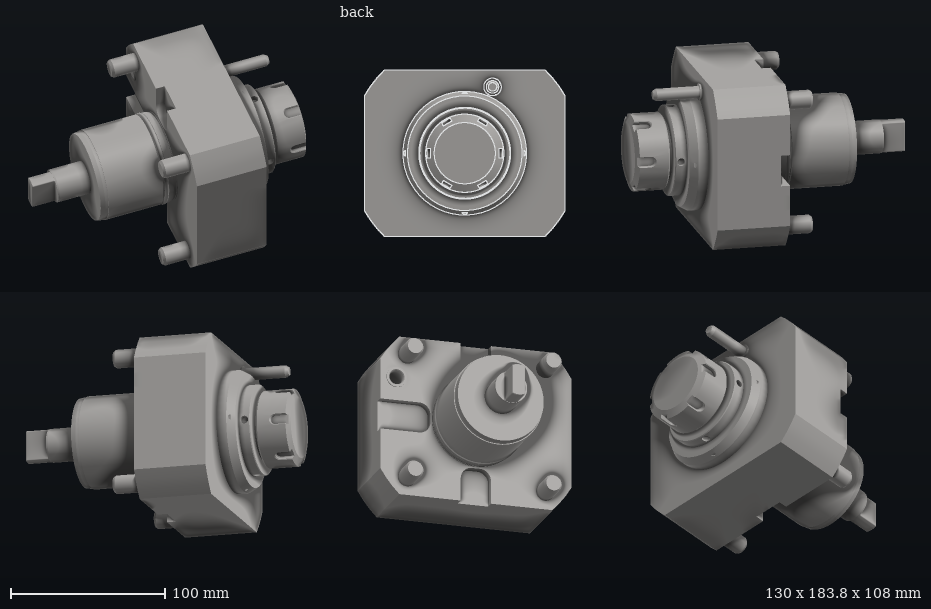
import cadquery as cq
import math


PLATE_WIDTH = 130.0
PLATE_HEIGHT = 108.0
PLATE_DEPTH = 48.3
PLATE_CORNER_RADIUS = 75.0

SLOT_WIDTH = 20.5
SLOT_DEPTH = 6.0
SLOT_CORNER_RADIUS = 7.7
SLOT_INNER_END = 30.9

DOWEL_RADIUS = 6.0
DOWEL_TIP_RADIUS = 5.0
DOWEL_LENGTH = 18.4
DOWEL_TIP_LENGTH = 1.7
DOWEL_X = 47.0
DOWEL_Z = 42.0

BUSH_X = -54.0
BUSH_Z = 26.0
BUSH_RADIUS = 6.8
BUSH_HEIGHT = 0.7
BUSH_BORE_RADIUS = 4.8
BUSH_BORE_DEPTH = 36.8
BUSH_CHAMFER = 0.5

TUBE_X = -18.0
TUBE_Z = 43.0
TUBE_RADIUS = 4.0
TUBE_LENGTH = 32.2
TUBE_TIP_RADIUS = 2.8
TUBE_TIP_LENGTH = 2.2
COLLAR_BASE_RADIUS = 5.1
COLLAR_TOP_RADIUS = 5.7
COLLAR_HEIGHT = 1.5

SHANK_RADIUS = 30.3
SHANK_END = -53.1
SHANK_STEP_RADIUS = 29.8
SHANK_STEP = -47.8
SHANK_TIP_RADIUS = 29.2
SHANK_TAPER = -50.0
RELIEF_RADIUS = 29.0
RELIEF_START = -0.5
RELIEF_END = -1.3
LAND_START = -3.0

GROOVE_RADIUS = 28.1
GROOVE_START = -6.0
GROOVE_END = -10.0
RING_WIRE_RADIUS = 1.38

SHAFT_RADIUS = 11.0
SHAFT_END = -75.5
SHAFT_TAPER = -74.5
SHAFT_TIP_RADIUS = 10.8
TANG_END = -91.2
TANG_THICKNESS = 8.6
TANG_END_RADIUS = 10.7
TANG_EDGE_RADIUS = 0.7
TANG_TIP_CHAMFER = 0.46
TANG_ROOT_FLARE = 0.5

COVER_RADIUS = 40.0
COVER_TOP_RADIUS = 37.1
COVER_CONE_START = 55.0
COVER_END = 60.3
RING_RADIUS = 29.8
RING_END = 68.0
RING_CHAMFER = 0.5
NECK_RADIUS = 20.5

HOLE_COUNT = 4
SPANNER_HOLE_RADIUS = 2.5
SPANNER_HOLE_DEPTH = 3.7
SPANNER_HOLE_Y = 64.1
DRILL_POINT_ANGLE = 118.0
DIMPLE_RADIUS = 1.7
DIMPLE_Y = 57.7

NUT_RADIUS = 25.4
NUT_START = 70.2
NUT_END = 92.6
NUT_CHAMFER = 1.1
NUT_RIM = 90.6
NUT_FACE_RADIUS = 19.9
NUT_SLOT_COUNT = 6
NUT_SLOT_WIDTH = 6.2
NUT_SLOT_END = 80.3
NUT_SLOT_CHAMFER = 0.5
NUT_SLOT_FLOOR = 22.2


def revolved(profile):
    """Solid of revolution about Y from a list of (radius, y) points."""
    return cq.Workplane("XY").polyline(profile).close().revolve(360, (0, 0, 0), (0, 1, 0))


def make_plate():
    blank = cq.Workplane("XZ").rect(PLATE_WIDTH, PLATE_HEIGHT).extrude(-PLATE_DEPTH)
    corner_cylinder = cq.Workplane("XZ").circle(PLATE_CORNER_RADIUS).extrude(-PLATE_DEPTH)
    return blank.intersect(corner_cylinder)


def key_slot(angle, outer_end):
    """Cutter for a slot running inwards from the plate edge, turned about Y from the +X direction."""
    length = outer_end - SLOT_INNER_END
    cutter = cq.Workplane("XY").box(length, SLOT_DEPTH, SLOT_WIDTH, centered=(False, False, True))
    cutter = cutter.edges("<X and |Y").fillet(SLOT_CORNER_RADIUS)
    return cutter.translate((SLOT_INNER_END, 0, 0)).rotate((0, 0, 0), (0, 1, 0), angle)


def make_spindle():
    """Shank, shaft, rear cover, ring, neck and nut as one turned shape."""
    return revolved([
        (0, SHAFT_END),
        (SHAFT_TIP_RADIUS, SHAFT_END),
        (SHAFT_RADIUS, SHAFT_TAPER),
        (SHAFT_RADIUS, SHANK_END),
        (SHANK_TIP_RADIUS, SHANK_END),
        (SHANK_STEP_RADIUS, SHANK_TAPER),
        (SHANK_STEP_RADIUS, SHANK_STEP),
        (SHANK_RADIUS, SHANK_STEP),
        (SHANK_RADIUS, GROOVE_END),
        (GROOVE_RADIUS, GROOVE_END),
        (GROOVE_RADIUS, GROOVE_START),
        (SHANK_RADIUS, GROOVE_START),
        (SHANK_RADIUS, LAND_START),
        (SHANK_STEP_RADIUS, LAND_START),
        (SHANK_STEP_RADIUS, RELIEF_END),
        (RELIEF_RADIUS, RELIEF_END),
        (RELIEF_RADIUS, RELIEF_START),
        (SHANK_STEP_RADIUS, RELIEF_START),
        (SHANK_STEP_RADIUS, PLATE_DEPTH),
        (COVER_RADIUS, PLATE_DEPTH),
        (COVER_RADIUS, COVER_CONE_START),
        (COVER_TOP_RADIUS, COVER_END),
        (RING_RADIUS, COVER_END),
        (RING_RADIUS, RING_END - RING_CHAMFER),
        (RING_RADIUS - RING_CHAMFER, RING_END),
        (NECK_RADIUS, RING_END),
        (NECK_RADIUS, NUT_START),
        (NUT_RADIUS - NUT_CHAMFER, NUT_START),
        (NUT_RADIUS, NUT_START + NUT_CHAMFER),
        (NUT_RADIUS, NUT_RIM),
        (NUT_FACE_RADIUS, NUT_END),
        (0, NUT_END),
    ])


def make_tang():
    """Flat blade with rounded edges and a chamfered tip, flared on both flats where it meets the shaft."""
    length = SHAFT_END - TANG_END
    half_thickness = TANG_THICKNESS / 2
    shaft_face = cq.Workplane("XZ", origin=(0, SHAFT_END, 0))
    round_bar = shaft_face.circle(TANG_END_RADIUS).extrude(length)
    blade = shaft_face.rect(TANG_THICKNESS, 2 * TANG_END_RADIUS).extrude(length).intersect(round_bar)
    blade = blade.edges("|Y").fillet(TANG_EDGE_RADIUS)
    blade = blade.faces("<Y").chamfer(TANG_TIP_CHAMFER)
    flare = (
        cq.Workplane("XY")
        .polyline([
            (-half_thickness - TANG_ROOT_FLARE, SHAFT_END),
            (half_thickness + TANG_ROOT_FLARE, SHAFT_END),
            (half_thickness, SHAFT_END - TANG_ROOT_FLARE),
            (-half_thickness, SHAFT_END - TANG_ROOT_FLARE),
        ])
        .close()
        .extrude(TANG_END_RADIUS, both=True)
        .intersect(round_bar)
    )
    return blade.union(flare)


def make_dowel(x, z):
    dowel = revolved([
        (0, 0),
        (DOWEL_RADIUS, 0),
        (DOWEL_RADIUS, DOWEL_TIP_LENGTH - DOWEL_LENGTH),
        (DOWEL_TIP_RADIUS, -DOWEL_LENGTH),
        (0, -DOWEL_LENGTH),
    ])
    return dowel.translate((x, 0, z))


def make_bush():
    bush = cq.Workplane("XZ").circle(BUSH_RADIUS).extrude(BUSH_HEIGHT)
    return bush.translate((BUSH_X, 0, BUSH_Z))


def bush_bore():
    """Cutter for the blind coolant bore with its chamfered mouth."""
    bore = revolved([
        (0, -BUSH_HEIGHT),
        (BUSH_BORE_RADIUS + BUSH_CHAMFER, -BUSH_HEIGHT),
        (BUSH_BORE_RADIUS, BUSH_CHAMFER - BUSH_HEIGHT),
        (BUSH_BORE_RADIUS, BUSH_BORE_DEPTH),
        (0, BUSH_BORE_DEPTH),
    ])
    return bore.translate((BUSH_X, 0, BUSH_Z))


def make_coolant_tube():
    tube = revolved([
        (0, 0),
        (COLLAR_BASE_RADIUS, 0),
        (COLLAR_TOP_RADIUS, COLLAR_HEIGHT),
        (TUBE_RADIUS, COLLAR_HEIGHT),
        (TUBE_RADIUS, TUBE_LENGTH - TUBE_TIP_LENGTH),
        (TUBE_TIP_RADIUS, TUBE_LENGTH),
        (0, TUBE_LENGTH),
    ])
    return tube.translate((TUBE_X, PLATE_DEPTH, TUBE_Z))


def spanner_hole():
    """Cutter for a radial hole with a drill point, entering the ring from +X."""
    point_length = SPANNER_HOLE_RADIUS / math.tan(math.radians(DRILL_POINT_ANGLE / 2))
    floor = RING_RADIUS - SPANNER_HOLE_DEPTH
    return (
        cq.Workplane("XY")
        .polyline([
            (RING_RADIUS, 0),
            (RING_RADIUS, SPANNER_HOLE_RADIUS),
            (floor, SPANNER_HOLE_RADIUS),
            (floor - point_length, 0),
        ])
        .close()
        .revolve(360, (0, 0, 0), (1, 0, 0))
        .translate((0, SPANNER_HOLE_Y, 0))
    )


def cover_dimple():
    """Cutter for a radial spot face from +X whose floor runs out of the cover cone at its center."""
    cone_fraction = (DIMPLE_Y - COVER_CONE_START) / (COVER_END - COVER_CONE_START)
    floor_radius = COVER_RADIUS + cone_fraction * (COVER_TOP_RADIUS - COVER_RADIUS)
    return (
        cq.Workplane("YZ", origin=(floor_radius, DIMPLE_Y, 0))
        .circle(DIMPLE_RADIUS)
        .extrude(COVER_RADIUS - floor_radius)
    )


def slot_outline(floor_x):
    """Closed outline of a nut slot, open past the nut face, on the plane X = floor_x."""
    half_width = NUT_SLOT_WIDTH / 2
    end_center = NUT_SLOT_END + half_width
    return (
        cq.Workplane("YZ", origin=(floor_x, 0, 0))
        .moveTo(NUT_END, half_width)
        .lineTo(end_center, half_width)
        .threePointArc((NUT_SLOT_END, 0), (end_center, -half_width))
        .lineTo(NUT_END, -half_width)
        .close()
    )


def nut_slot():
    """Cutter for a flat-bottomed wrench slot with a round end and chamfered edges, entering from +X."""
    edge_radius = math.sqrt(NUT_RADIUS**2 - (NUT_SLOT_WIDTH / 2)**2)
    chamfer_start = edge_radius - NUT_SLOT_CHAMFER
    straight_part = slot_outline(NUT_SLOT_FLOOR).extrude(NUT_RADIUS - NUT_SLOT_FLOOR)
    chamfer_part = slot_outline(chamfer_start).extrude(NUT_RADIUS - chamfer_start, taper=-45)
    return straight_part.union(chamfer_part)


def cut_around_axis(body, cutter, count):
    for index in range(count):
        body = body.cut(cutter.rotate((0, 0, 0), (0, 1, 0), index * 360 / count))
    return body


def make_holder():
    holder = make_plate()
    for angle, outer_end in ((90, PLATE_HEIGHT / 2), (180, PLATE_WIDTH / 2), (270, PLATE_HEIGHT / 2)):
        holder = holder.cut(key_slot(angle, outer_end))
    holder = holder.union(make_spindle())
    holder = holder.union(make_tang())
    for x in (-DOWEL_X, DOWEL_X):
        for z in (-DOWEL_Z, DOWEL_Z):
            holder = holder.union(make_dowel(x, z))
    holder = holder.union(make_bush()).cut(bush_bore())
    holder = holder.union(make_coolant_tube())
    holder = cut_around_axis(holder, spanner_hole(), HOLE_COUNT)
    holder = cut_around_axis(holder, cover_dimple(), HOLE_COUNT)
    return cut_around_axis(holder, nut_slot(), NUT_SLOT_COUNT)


def make_o_ring():
    center_radius = GROOVE_RADIUS + RING_WIRE_RADIUS
    return (
        cq.Workplane("XY")
        .center(center_radius, GROOVE_START - RING_WIRE_RADIUS)
        .circle(RING_WIRE_RADIUS)
        .revolve(360, (-center_radius, 0, 0), (-center_radius, 1, 0))
    )


holder = make_holder()
o_ring = make_o_ring()
result = cq.Compound.makeCompound([holder.solids().val(), o_ring.val()])